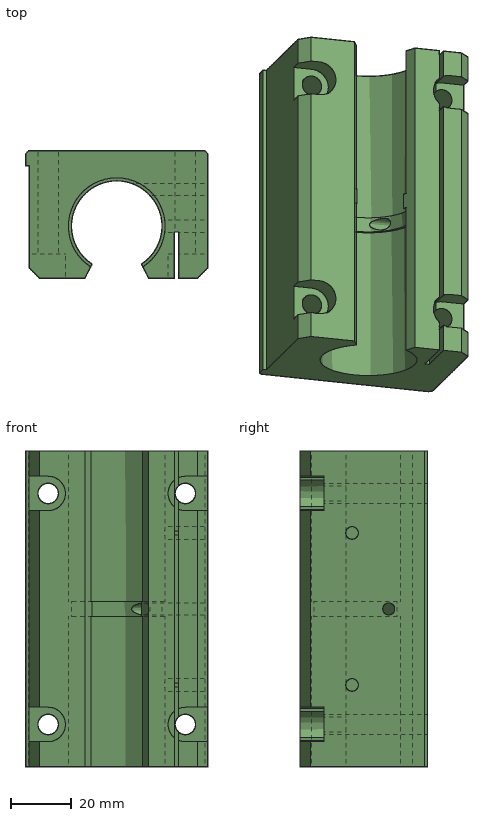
import cadquery as cq
import math

length = 104.0
width = 60.0
depth = 42.0
half_width = width / 2
bore_to_front = 17.2
front_y = -bore_to_front
back_y = front_y + depth

rail_height = 1.1
rail_width = 5.0
back_chamfer = 1.0
front_chamfer = 3.4

bore_radius = 15.9
rib_radius = 14.9
rib_length = 4.9
mouth_half_width = 10.5
mouth_flare_angle = 27.5

slit_x = 19.7
slit_width = 1.5
slit_depth = 15.2
cross_hole_diameter = 4.2
cross_hole_spacing = 50.0

bolt_spacing_x = 45.1
bolt_spacing_z = 76.0
bolt_diameter = 6.7
recess_diameter = 11.3
recess_depth = 8.0

rib_hole_diameter = 4.0
rib_hole_y = 12.1


def centered_prism(sketch_points, height):
    """Extrude a closed XY polygon symmetrically about Z = 0."""
    return cq.Workplane("XY").polyline(sketch_points).close().extrude(height / 2, both=True)


def make_block():
    left_x = -half_width + rail_height
    rail_y = back_y - rail_width
    outline = [
        (left_x + front_chamfer, front_y),
        (half_width - front_chamfer, front_y),
        (half_width, front_y + front_chamfer),
        (half_width, back_y - back_chamfer),
        (half_width - back_chamfer, back_y),
        (-half_width + back_chamfer, back_y),
        (-half_width, back_y - back_chamfer),
        (-half_width, rail_y),
        (left_x, rail_y),
        (left_x, front_y + front_chamfer),
    ]
    return centered_prism(outline, length)


def make_bore():
    """Full-length bore with a narrower rib left at mid-length."""
    bore = cq.Workplane("XY").circle(bore_radius).extrude(length / 2, both=True)
    rib = cq.Workplane("XY").circle(bore_radius).circle(rib_radius).extrude(rib_length / 2, both=True)
    return bore.cut(rib)


def make_mouth():
    """Wedge between the two flared lips, ending at its apex inside the bore."""
    apex_y = front_y + mouth_half_width / math.tan(math.radians(mouth_flare_angle))
    return centered_prism([(-mouth_half_width, front_y), (mouth_half_width, front_y), (0, apex_y)], length)


def make_slit():
    return cq.Workplane("XY").box(slit_width, slit_depth, length).translate(
        (slit_x, front_y + slit_depth / 2, 0)
    )


def make_cross_holes():
    """Holes from the bore to the +X face."""
    return (
        cq.Workplane("YZ")
        .pushPoints([(0, -cross_hole_spacing / 2), (0, cross_hole_spacing / 2)])
        .circle(cross_hole_diameter / 2)
        .extrude(half_width)
    )


def make_rib_hole():
    """Off-center hole from the rib to the +X face."""
    return cq.Workplane("YZ").center(rib_hole_y, 0).circle(rib_hole_diameter / 2).extrude(half_width)


def make_mounting_hole(side, z):
    """Bolt hole along Y with a recess open to the outer side (side is -1 or 1)."""
    x = side * bolt_spacing_x / 2
    recess_y = front_y + recess_depth / 2
    open_length = half_width - bolt_spacing_x / 2
    bolt = cq.Workplane("XZ").center(x, z).circle(bolt_diameter / 2).extrude(depth, both=True)
    recess_end = (
        cq.Workplane("XZ", origin=(0, recess_y, 0))
        .center(x, z)
        .circle(recess_diameter / 2)
        .extrude(recess_depth / 2, both=True)
    )
    recess_opening = cq.Workplane("XY").box(open_length, recess_depth, recess_diameter).translate(
        (x + side * open_length / 2, recess_y, z)
    )
    return bolt.union(recess_end).union(recess_opening)


result = make_block().cut(make_bore()).cut(make_mouth()).cut(make_slit())
result = result.cut(make_cross_holes()).cut(make_rib_hole())
for side in (-1, 1):
    for z in (-bolt_spacing_z / 2, bolt_spacing_z / 2):
        result = result.cut(make_mounting_hole(side, z))